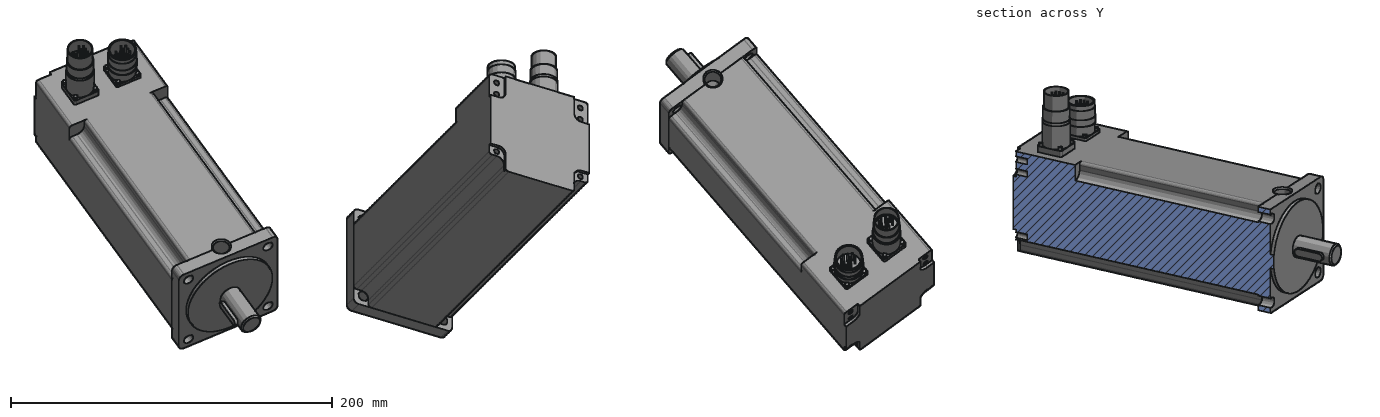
import cadquery as cq


body_side = 70.0
body_half = body_side / 2
body_end = 177.0
housing_end = 45.0
body_edge_radius = 2.0

groove_size = 10.5
groove_corner_radius = 5.2
groove_edge_radius = 2.0

pocket_depth = 2.0
pocket_width = 10.8
pocket_height = 17.0
pocket_radius = 5.2

screw_hole_diameter = 3.5
screw_hole_depth = 8.0
screw_hole_side_inset = 5.3
screw_hole_insets_from_top = (5.3, 13.7)
screw_hole_inset_from_bottom = 13.8

flange_side = 70.05
flange_end = 186.0
flange_corner_radius = 3.5
mount_hole_diameter = 6.6
mount_hole_inset = 6.8

access_hole_diameter = 10.2
access_hole_chamfer = 1.0
access_hole_depth = 15.0
drill_point_height = 3.0

pilot_diameter = 60.0
pilot_end = 188.5
shaft_diameter = 14.0
shaft_end = 216.0
shaft_chamfer = 1.0
key_start = 191.0
key_length = 20.0
key_width = 5.0
key_height = 5.0
key_protrusion = 2.0

connector_x = 22.5
connector_offset_y = 15.0
plate_side = 17.6
plate_corner_radius = 1.2
plate_screw_diameter = 2.6
plate_screw_inset = 1.9
socket_depth = 12.0
pin_diameter = 1.0
pin_pitch = 1.28
pin_places = (
    (-2, 3), (0, 3), (2, 3),
    (-3, 1), (-1, 1), (3, 1),
    (0, -1), (2, -1),
    (-1, -3), (1, -3),
)

tall_plate_thickness = 4.0
tall_screw_height = 1.8
tall_barrels = ((17.5, 19.5), (17.2, 21.4), (16.8, 29.2), (15.6, 39.5))
tall_socket_diameter = 14.8
tall_pin_recess = 2.0
short_plate_thickness = 2.0
short_screw_height = 1.3
short_barrels = ((17.4, 8.4), (18.4, 12.9), (17.8, 19.0), (17.4, 22.2))
short_socket_diameter = 15.6
short_pin_recess = 1.2


def box(x_range, y_range, z_range):
    """Box between the given limits."""
    size = [high - low for low, high in (x_range, y_range, z_range)]
    corner = (x_range[0], y_range[0], z_range[0])
    return cq.Workplane("XY").box(*size, centered=False).translate(corner)


def cylinder_x(diameter, start, end):
    """Cylinder on the shaft axis between two X positions."""
    return cq.Workplane("YZ", origin=(start, 0, 0)).circle(diameter / 2).extrude(end - start)


def cylinder_z(diameter, x, y, bottom, top):
    """Vertical cylinder between two Z positions."""
    return cq.Workplane("XY", origin=(x, y, bottom)).circle(diameter / 2).extrude(top - bottom)


def corner_block(start, end, y_sign, z_sign, width, height):
    """Box that fills one lengthwise corner of the body."""
    y_range = sorted((y_sign * (body_half - width), y_sign * body_half))
    z_range = sorted((z_sign * (body_half - height), z_sign * body_half))
    return box((start, end), y_range, z_range)


def inner_edge(y_sign, z_sign, width, height):
    """Selector for the lengthwise edge at the inner corner of a corner block."""
    place = (0, y_sign * (body_half - width), z_sign * (body_half - height))
    return cq.selectors.NearestToPointSelector(place)


def make_profile(grooved_z_signs, start, end):
    """Square bar with rounded edges; the corners at the given Z signs are grooved."""
    bar = box((start, end), (-body_half, body_half), (-body_half, body_half))
    for y_sign in (-1, 1):
        for z_sign in grooved_z_signs:
            groove = corner_block(start, end, y_sign, z_sign, groove_size, groove_size)
            groove = groove.edges("|X").edges(inner_edge(y_sign, z_sign, groove_size, groove_size))
            bar = bar.cut(groove.fillet(groove_corner_radius))
            for y_inset, z_inset in ((0, groove_size), (groove_size, 0)):
                lip = inner_edge(y_sign, z_sign, y_inset, z_inset)
                bar = bar.edges("|X").edges(lip).fillet(groove_edge_radius)
        if 1 not in grooved_z_signs:
            plain_edge = inner_edge(y_sign, 1, 0, 0)
            bar = bar.edges("|X").edges(plain_edge).fillet(body_edge_radius)
    return bar


def make_body():
    """Connector housing with lower grooves only, then the motor body with four grooves."""
    housing = make_profile((-1,), 0, housing_end)
    return housing.union(make_profile((-1, 1), housing_end, body_end))


def cut_rear_cover(part):
    """Corner pockets and blind screw holes in the rear face."""
    hole_heights = [body_half - inset for inset in screw_hole_insets_from_top]
    hole_heights.append(screw_hole_inset_from_bottom - body_half)
    for y_sign in (-1, 1):
        for z_sign in (-1, 1):
            pocket = corner_block(0, pocket_depth, y_sign, z_sign, pocket_width, pocket_height)
            pocket = pocket.edges("|X").edges(inner_edge(y_sign, z_sign, pocket_width, pocket_height))
            part = part.cut(pocket.fillet(pocket_radius))
        for z in hole_heights:
            hole = cylinder_x(screw_hole_diameter, pocket_depth, pocket_depth + screw_hole_depth)
            part = part.cut(hole.translate((0, y_sign * (body_half - screw_hole_side_inset), z)))
    return part


def make_flange():
    """Square mounting flange with four through holes."""
    hole_spacing = 2 * (body_half - mount_hole_inset)
    return (
        cq.Workplane("YZ", origin=(body_end, 0, 0))
        .rect(flange_side, flange_side)
        .extrude(flange_end - body_end)
        .edges("|X")
        .fillet(flange_corner_radius)
        .faces(">X")
        .workplane(origin=(flange_end, 0, 0))
        .rect(hole_spacing, hole_spacing, forConstruction=True)
        .vertices()
        .hole(mount_hole_diameter)
    )


def make_access_hole():
    """Cutter for the drilled hole: countersunk mouth, bore and conical end."""
    radius = access_hole_diameter / 2
    top = flange_side / 2
    mouth_radius = radius + access_hole_chamfer
    bore_end = top - access_hole_depth
    return (
        cq.Workplane("XZ", origin=(body_end, 0, 0))
        .moveTo(0, top)
        .lineTo(mouth_radius, top)
        .lineTo(radius, top - access_hole_chamfer)
        .lineTo(radius, bore_end)
        .lineTo(0, bore_end - drill_point_height)
        .close()
        .revolve(360, (0, 0, 0), (0, 1, 0))
    )


def make_shaft():
    """Pilot disc and chamfered shaft with its round-ended key on the -Y side."""
    pilot = cylinder_x(pilot_diameter, flange_end, pilot_end)
    shaft = cylinder_x(shaft_diameter, flange_end, shaft_end).faces(">X").chamfer(shaft_chamfer)
    key_middle = key_start + key_length / 2
    key_top = shaft_diameter / 2 + key_protrusion
    key = (
        cq.Workplane("XZ", origin=(key_middle, -key_top, 0))
        .slot2D(key_length, key_width)
        .extrude(-key_height)
    )
    return pilot.union(shaft).union(key)


def make_connector(y, plate_thickness, screw_height, barrels, socket_diameter, pin_recess):
    """Upright connector: square plate with screws, stepped barrel, open socket and pins."""
    plate_top = body_half + plate_thickness
    connector = (
        cq.Workplane("XY", origin=(connector_x, y, body_half))
        .rect(plate_side, plate_side)
        .extrude(plate_thickness)
        .edges("|Z")
        .fillet(plate_corner_radius)
    )
    screw_offset = plate_side / 2 - plate_screw_inset
    for x_sign in (-1, 1):
        for y_sign in (-1, 1):
            screw_x = connector_x + x_sign * screw_offset
            screw_y = y + y_sign * screw_offset
            screw = cylinder_z(plate_screw_diameter, screw_x, screw_y, body_half, plate_top + screw_height)
            connector = connector.union(screw)
    bottom = body_half
    for diameter, height in barrels:
        top = body_half + height
        connector = connector.union(cylinder_z(diameter, connector_x, y, bottom, top))
        bottom = top
    rim = bottom
    floor = rim - socket_depth
    connector = connector.cut(cylinder_z(socket_diameter, connector_x, y, floor, rim))
    for x_step, y_step in pin_places:
        pin_x = connector_x + x_step * pin_pitch
        pin_y = y + y_step * pin_pitch
        connector = connector.union(cylinder_z(pin_diameter, pin_x, pin_y, floor, rim - pin_recess))
    return connector


tall_connector = make_connector(
    -connector_offset_y, tall_plate_thickness, tall_screw_height,
    tall_barrels, tall_socket_diameter, tall_pin_recess,
)
short_connector = make_connector(
    connector_offset_y, short_plate_thickness, short_screw_height,
    short_barrels, short_socket_diameter, short_pin_recess,
)

motor = cut_rear_cover(make_body()).union(make_flange()).cut(make_access_hole())
result = motor.union(make_shaft()).union(tall_connector).union(short_connector)